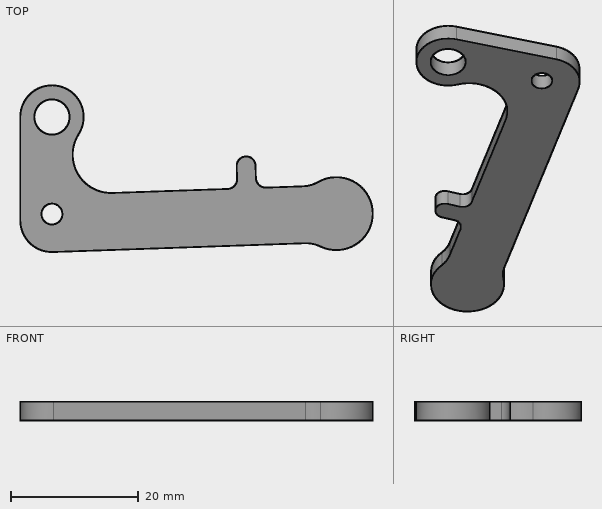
import cadquery as cq
import math

thickness = 3.0

pivot_diameter = 5.5
pin_diameter = 3.25
hole_spacing = 15.25
bracket_radius = 5.0
foot_center_y = -0.99

arm_tilt = math.radians(2.0)
arm_top = 3.0
elbow_radius = 6.0

knob_center_x = 44.68
knob_radius = 5.75
neck_radius = 5.0

finger_along = 30.75
finger_width = 3.0
finger_height = 5.0
finger_root_radius = 1.5


def from_arm(along, across):
    """Plate coordinates of a point given along and across the arm."""
    x = along * math.cos(arm_tilt) - across * math.sin(arm_tilt)
    y = along * math.sin(arm_tilt) + across * math.cos(arm_tilt)
    return (x, y)


def to_arm(x, y):
    """Along and across coordinates of a point on the plate."""
    along = x * math.cos(arm_tilt) + y * math.sin(arm_tilt)
    across = -x * math.sin(arm_tilt) + y * math.cos(arm_tilt)
    return (along, across)


def between(start, end, fraction):
    """Point at the given fraction of the way from start to end."""
    x = start[0] + fraction * (end[0] - start[0])
    y = start[1] + fraction * (end[1] - start[1])
    return (x, y)


foot_along, foot_across = to_arm(0, foot_center_y)
arm_bottom = foot_across - bracket_radius
arm_middle = (arm_top + arm_bottom) / 2
arm_half_width = (arm_top - arm_bottom) / 2

knob_along = (knob_center_x + arm_middle * math.sin(arm_tilt)) / math.cos(arm_tilt)
knob_center = (knob_along, arm_middle)


def neck_points(side):
    """Ends of a neck arc on the arm edge and on the knob; side is +1 upper, -1 lower."""
    rise = arm_half_width + neck_radius
    reach = math.sqrt((knob_radius + neck_radius) ** 2 - rise ** 2)
    neck_center = (knob_along - reach, arm_middle + side * rise)
    on_arm = (neck_center[0], arm_middle + side * arm_half_width)
    on_knob = between(knob_center, neck_center, knob_radius / (knob_radius + neck_radius))
    return from_arm(*on_arm), from_arm(*on_knob)


def elbow_points():
    """Ends of the elbow arc, tangent to the arm's upper edge and the pivot boss."""
    boss_center = to_arm(0, hole_spacing)
    elbow_across = arm_top + elbow_radius
    drop = boss_center[1] - elbow_across
    reach = math.sqrt((bracket_radius + elbow_radius) ** 2 - drop ** 2)
    elbow_center = (boss_center[0] + reach, elbow_across)
    on_arm = (elbow_center[0], arm_top)
    on_boss = between(boss_center, elbow_center, bracket_radius / (bracket_radius + elbow_radius))
    return from_arm(*on_arm), from_arm(*on_boss)


def make_plate():
    """Extruded outline, drawn counter-clockwise from the top of the left wall."""
    lower_neck_arm, lower_neck_knob = neck_points(-1)
    upper_neck_arm, upper_neck_knob = neck_points(1)
    elbow_arm, elbow_boss = elbow_points()

    finger_half = finger_width / 2
    finger_right = finger_along + finger_half
    finger_left = finger_along - finger_half
    finger_tip = arm_top + finger_height
    finger_shoulder = finger_tip - finger_half
    finger_root = arm_top + finger_root_radius

    outline = (
        cq.Workplane("XY")
        .moveTo(-bracket_radius, hole_spacing)
        .lineTo(-bracket_radius, foot_center_y)
        .tangentArcPoint(from_arm(foot_along, arm_bottom), relative=False)
        .lineTo(*lower_neck_arm)
        .tangentArcPoint(lower_neck_knob, relative=False)
        .threePointArc(from_arm(knob_along + knob_radius, arm_middle), upper_neck_knob)
        .tangentArcPoint(upper_neck_arm, relative=False)
        .lineTo(*from_arm(finger_right + finger_root_radius, arm_top))
        .tangentArcPoint(from_arm(finger_right, finger_root), relative=False)
        .lineTo(*from_arm(finger_right, finger_shoulder))
        .threePointArc(from_arm(finger_along, finger_tip), from_arm(finger_left, finger_shoulder))
        .lineTo(*from_arm(finger_left, finger_root))
        .tangentArcPoint(from_arm(finger_left - finger_root_radius, arm_top), relative=False)
        .lineTo(*elbow_arm)
        .tangentArcPoint(elbow_boss, relative=False)
        .threePointArc((0, hole_spacing + bracket_radius), (-bracket_radius, hole_spacing))
        .close()
    )
    return outline.extrude(thickness)


def make_hole(center_y, diameter):
    """Cutter for a through hole on the bracket's centre line."""
    return cq.Workplane("XY").center(0, center_y).circle(diameter / 2).extrude(thickness)


pivot_hole = make_hole(hole_spacing, pivot_diameter)
pin_hole = make_hole(0, pin_diameter)
result = make_plate().cut(pivot_hole).cut(pin_hole)